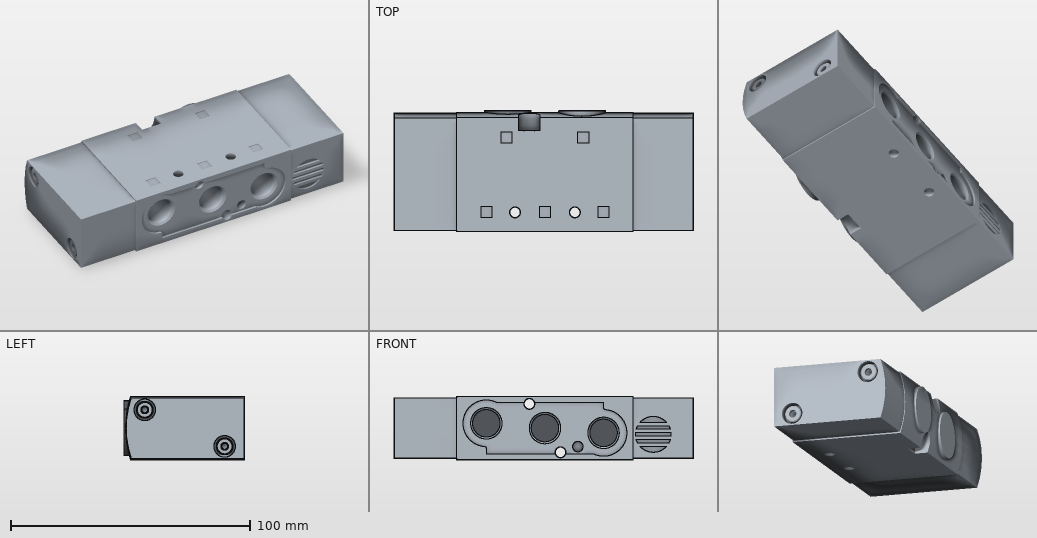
import cadquery as cq
import math


housing_width = 73.8
housing_height = 26.5
housing_depth = 49.8
crown_rise = 2.1

total_width = 125.0
left_cap_width = 26.1
right_cap_width = total_width - housing_width - left_cap_width
cap_inset_front = 0.4
cap_inset_back = 0.2
cap_inset_height = 0.6

port_diameter = 11.5
port_mouth_diameter = 13.1
port_mouth_depth = 0.8
port_depth = 17.5
port_spacing = 24.5
port_drop = 2.0

recess_depth = 1.0
recess_end_radius = 9.8
recess_half_height = 10.8
recess_corner_radius = 0.8

boss_diameter = 19.5
boss_x = 15.5
boss_z = 1.8
boss_top = 50.5

mount_diameter = 4.4
mount_x = 6.5
mount_z = 10.1
mount_bore_diameter = 9.0
mount_bore_floor = 42.1

cross_hole_diameter = 4.4
cross_hole_x = 12.5
cross_hole_y = 8.0

pilot_diameter = 4.4
pilot_x = 13.8
pilot_z = -7.8
pilot_depth = 3.8

label_size = 4.6
label_depth = 0.2
label_front_y = 8.1
label_back_y = 39.2
label_back_x = 16.0

grille_diameter = 15.0
grille_x = 45.2
grille_z = -2.6
grille_pitch = 2.9
grille_slots = 5
grille_depth = 1.0

screw_bore_diameter = 9.0
screw_head_diameter = 7.0
screw_head_chamfer = 0.4
screw_recess = 0.8
screw_head_length = 4.0
screw_shank_diameter = 4.0
screw_thread_depth = 7.5
socket_diameter = 3.2
socket_depth = 1.9
socket_tip_diameter = 2.5
socket_tip_depth = 0.8
screw_z = 7.6
screw_back_y = 41.8
screw_front_y = 8.4

housing_left = -housing_width / 2
housing_right = housing_width / 2
cap_left = housing_left - left_cap_width
cap_right = housing_right + right_cap_width
screw_places = [(screw_back_y, screw_z), (screw_front_y, -screw_z)]


def crowned_block(x_start, width, front, back, height):
    """Block along X whose back bulges out to `back` at mid height."""
    half = height / 2
    return (
        cq.Workplane("YZ", origin=(x_start, 0, 0))
        .moveTo(front, -half)
        .lineTo(back - crown_rise, -half)
        .threePointArc((back, 0), (back - crown_rise, half))
        .lineTo(front, half)
        .close()
        .extrude(width)
    )


def rod_y(diameter, x, z, y_start, length):
    """Cylinder that runs toward +Y from y_start."""
    base = cq.Workplane("XZ", origin=(x, y_start, z))
    return base.circle(diameter / 2).extrude(-length)


def rod_x(diameter, y, z, x_start, length):
    """Cylinder that runs along X from x_start; a negative length runs toward -X."""
    base = cq.Workplane("YZ", origin=(x_start, y, z))
    return base.circle(diameter / 2).extrude(length)


def gasket_recess():
    """Band between the outer ports with a round lobe at each end, as a cutter."""
    band = (
        cq.Workplane("XZ")
        .rect(2 * port_spacing, 2 * recess_half_height)
        .extrude(-recess_depth)
    )
    for side in (-1, 1):
        lobe = rod_y(2 * recess_end_radius, side * port_spacing, -side * port_drop, 0, recess_depth)
        band = band.union(lobe)

    corner_z = recess_end_radius - port_drop
    for side in (-1, 1):
        corner = (side * port_spacing, recess_depth / 2, side * corner_z)
        band = band.edges(cq.NearestToPointSelector(corner)).fillet(recess_corner_radius)
    return band


def port(x, z):
    """Blind port with a countersunk mouth, as a cutter from the recess floor."""
    mouth = (
        cq.Workplane("XZ", origin=(x, recess_depth, z))
        .circle(port_mouth_diameter / 2)
        .workplane(offset=-port_mouth_depth)
        .circle(port_diameter / 2)
        .loft()
    )
    return rod_y(port_diameter, x, z, 0, port_depth).union(mouth)


def bore_opening(x, z):
    """Straight-sided cutter that opens a back counterbore to the nearer of the top and bottom faces."""
    face_z = math.copysign(housing_height / 2, z)
    return (
        cq.Workplane("XZ", origin=(x, mount_bore_floor, (z + face_z) / 2))
        .rect(mount_bore_diameter, abs(face_z - z))
        .extrude(mount_bore_floor - boss_top)
    )


def make_housing():
    body = crowned_block(housing_left, housing_width, 0, housing_depth, housing_height)

    boss_start = housing_depth - 2 * crown_rise
    for side in (-1, 1):
        body = body.union(
            rod_y(boss_diameter, side * boss_x, side * boss_z, boss_start, boss_top - boss_start)
        )

    body = body.cut(gasket_recess())
    for step in (-1, 0, 1):
        body = body.cut(port(step * port_spacing, -step * port_drop))
    body = body.cut(rod_y(pilot_diameter, pilot_x, pilot_z, 0, pilot_depth))

    for side in (-1, 1):
        x = side * mount_x
        z = -side * mount_z
        body = body.cut(rod_y(mount_diameter, x, z, 0, boss_top))
        body = body.cut(rod_y(mount_bore_diameter, x, z, mount_bore_floor, boss_top - mount_bore_floor))
        body = body.cut(bore_opening(x, z))

    cross_holes = (
        cq.Workplane("XY", origin=(0, cross_hole_y, -housing_height / 2))
        .pushPoints([(-cross_hole_x, 0), (cross_hole_x, 0)])
        .circle(cross_hole_diameter / 2)
        .extrude(housing_height)
    )
    body = body.cut(cross_holes)

    label_places = [(step * port_spacing, label_front_y) for step in (-1, 0, 1)]
    label_places += [(side * label_back_x, label_back_y) for side in (-1, 1)]
    labels = (
        cq.Workplane("XY", origin=(0, 0, housing_height / 2))
        .pushPoints(label_places)
        .rect(label_size, label_size)
        .extrude(-label_depth)
    )
    body = body.cut(labels)

    for y, z in screw_places:
        body = body.cut(rod_x(screw_shank_diameter, y, z, housing_left, screw_thread_depth))
        body = body.cut(rod_x(screw_shank_diameter, y, z, housing_right, -screw_thread_depth))
    return body


def make_cap(x_start, width, outer_x, inward):
    """End cap with counterbored screw holes; `inward` is the X sign toward the housing."""
    cap = crowned_block(
        x_start,
        width,
        cap_inset_front,
        housing_depth - cap_inset_back,
        housing_height - 2 * cap_inset_height,
    )
    bore_depth = screw_recess + screw_head_length
    for y, z in screw_places:
        cap = cap.cut(rod_x(screw_bore_diameter, y, z, outer_x, inward * bore_depth))
        cap = cap.cut(rod_x(screw_shank_diameter, y, z, outer_x, inward * width))
    return cap


def grille():
    """Slots clipped to a circle, as a cutter for the front of the right cap."""
    slots = (
        cq.Workplane("XZ", origin=(grille_x, cap_inset_front, grille_z))
        .rarray(1.2, grille_pitch, 1, grille_slots)
        .rect(grille_diameter, grille_pitch / 2)
        .extrude(-grille_depth)
    )
    disc = rod_y(grille_diameter, grille_x, grille_z, cap_inset_front, grille_depth)
    top_slot_z = (grille_slots - 1) / 2 * grille_pitch - grille_pitch / 4
    segment_height = grille_diameter / 2 - top_slot_z
    for side in (-1, 1):
        segment = (
            cq.Workplane("XZ", origin=(grille_x, cap_inset_front, grille_z))
            .center(0, side * (top_slot_z + segment_height / 2))
            .rect(grille_diameter, segment_height)
            .extrude(-grille_depth)
        )
        slots = slots.union(segment)
    return slots.intersect(disc)


def make_screw(y, z, outer_x, inward, cap_width):
    """Cylinder-head screw with a conical-bottomed socket; `inward` is the X sign toward the housing."""
    head_x = outer_x + inward * screw_recess
    under_head = cap_width - screw_recess - screw_head_length
    head = rod_x(screw_head_diameter, y, z, head_x, inward * screw_head_length)
    head = head.faces("<X" if inward > 0 else ">X").chamfer(screw_head_chamfer)
    shank_x = head_x + inward * screw_head_length
    shank = rod_x(screw_shank_diameter, y, z, shank_x, inward * (under_head + screw_thread_depth))
    socket = rod_x(socket_diameter, y, z, head_x, inward * socket_depth)
    tip = cq.Workplane(
        cq.Solid.makeCone(
            socket_tip_diameter / 2,
            0,
            socket_tip_depth,
            pnt=cq.Vector(head_x + inward * socket_depth, y, z),
            dir=cq.Vector(inward, 0, 0),
        )
    )
    return head.union(shank).cut(socket).cut(tip)


housing = make_housing()
left_cap = make_cap(cap_left, left_cap_width, cap_left, 1)
right_cap = make_cap(housing_right, right_cap_width, cap_right, -1).cut(grille())

screws = []
for y, z in screw_places:
    screws.append(make_screw(y, z, cap_left, 1, left_cap_width).val())
    screws.append(make_screw(y, z, cap_right, -1, right_cap_width).val())

result = cq.Compound.makeCompound([housing.val(), left_cap.val(), right_cap.val(), *screws])